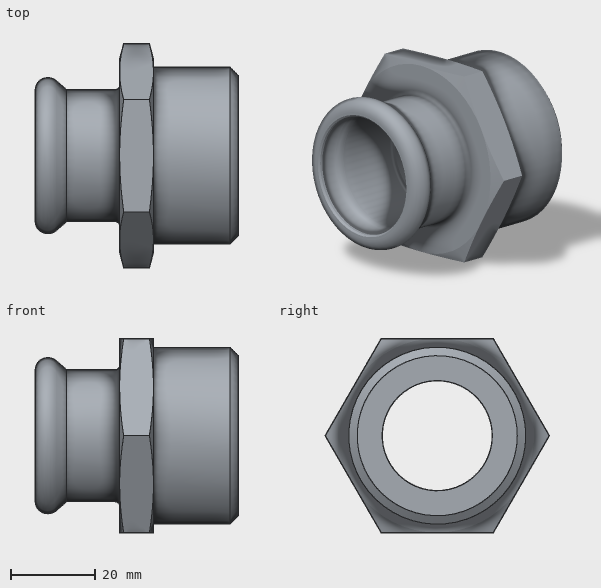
import cadquery as cq
import math


bead_radius = 3.0
bead_diameter = 37.0
neck_diameter = 31.3
socket_diameter = 28.2
lip_diameter = 28.8
lip_chamfer = 0.4
lip_width = 1.1
bead_cone_angle = math.radians(41)
socket_entry_radius = 3.0
socket_depth = 24.0
stop_fillet = 0.5

hex_start = 20.0
hex_width = 8.0
hex_across_flats = 46.0
hex_chamfer_angle = math.radians(15)
neck_fillet = 1.0

total_length = 48.1
male_diameter = 41.91
male_chamfer = 2.0
through_diameter = 26.0

hex_end = hex_start + hex_width
hex_across_corners = hex_across_flats / math.cos(math.radians(30))
bead_center = (bead_radius, bead_diameter / 2 - bead_radius)
neck_radius = neck_diameter / 2
socket_radius = socket_diameter / 2
wall = neck_radius - socket_radius
groove_radius = bead_radius - wall


def arc_point(center, radius, angle):
    """Point on an arc in the profile plane, its angle measured from the outward radial towards +X."""
    return (center[0] + radius * math.sin(angle), center[1] + radius * math.cos(angle))


def revolve_about_x(profile):
    return profile.close().revolve(360, (0, 0, 0), (1, 0, 0))


def make_body():
    """Solid outer shape without the hexagon: bead, cone, neck and male end."""
    cone_start = arc_point(bead_center, bead_radius, bead_cone_angle)
    cone_length = (cone_start[1] - neck_radius) / math.tan(bead_cone_angle)
    fillet_center = (hex_start - neck_fillet, neck_radius + neck_fillet)
    male_radius = male_diameter / 2
    profile = (
        cq.Workplane("XY")
        .moveTo(0, 0)
        .lineTo(0, bead_center[1])
        .threePointArc(arc_point(bead_center, bead_radius, 0), cone_start)
        .lineTo(cone_start[0] + cone_length, neck_radius)
        .lineTo(hex_start - neck_fillet, neck_radius)
        .threePointArc(
            arc_point(fillet_center, neck_fillet, math.radians(135)),
            (hex_start, neck_radius + neck_fillet),
        )
        .lineTo(hex_start, male_radius)
        .lineTo(total_length - male_chamfer, male_radius)
        .lineTo(total_length, male_radius - male_chamfer)
        .lineTo(total_length, 0)
    )
    return revolve_about_x(profile)


def make_hexagon():
    """Hexagon with corners on +/-Y, its corners turned down by a cone on both faces."""
    prism = (
        cq.Workplane("YZ")
        .workplane(offset=hex_start)
        .polygon(6, hex_across_corners)
        .extrude(hex_width)
    )
    flat_radius = hex_across_flats / 2
    corner_radius = hex_across_corners / 2
    chamfer_depth = (corner_radius - flat_radius) * math.tan(hex_chamfer_angle)
    envelope = (
        cq.Workplane("XY")
        .moveTo(hex_start, 0)
        .lineTo(hex_start, flat_radius)
        .lineTo(hex_start + chamfer_depth, corner_radius)
        .lineTo(hex_end - chamfer_depth, corner_radius)
        .lineTo(hex_end, flat_radius)
        .lineTo(hex_end, 0)
    )
    return prism.intersect(revolve_about_x(envelope))


def make_bore():
    """Passage through the part: lip, seal groove, pipe socket, stop and through bore."""
    lip_radius = lip_diameter / 2
    through_radius = through_diameter / 2
    stop_center = (socket_depth - stop_fillet, socket_radius - stop_fillet)

    groove_cone_start = arc_point(bead_center, groove_radius, bead_cone_angle)
    entry_center_radius = socket_radius + socket_entry_radius
    tangent_gap = groove_radius + socket_entry_radius
    radial_gap = entry_center_radius - bead_center[1]
    entry_center_x = bead_center[0] + (
        tangent_gap - radial_gap * math.cos(bead_cone_angle)
    ) / math.sin(bead_cone_angle)
    entry_center = (entry_center_x, entry_center_radius)

    profile = (
        cq.Workplane("XY")
        .moveTo(0, 0)
        .lineTo(0, lip_radius + lip_chamfer)
        .lineTo(lip_chamfer, lip_radius)
        .lineTo(lip_width, lip_radius)
        .lineTo(bead_center[0] - groove_radius, bead_center[1])
        .threePointArc(arc_point(bead_center, groove_radius, 0), groove_cone_start)
        .lineTo(*arc_point(entry_center, socket_entry_radius, math.pi + bead_cone_angle))
        .threePointArc(
            arc_point(entry_center, socket_entry_radius, math.pi + bead_cone_angle / 2),
            (entry_center_x, socket_radius),
        )
        .lineTo(stop_center[0], socket_radius)
        .threePointArc(
            arc_point(stop_center, stop_fillet, math.radians(45)),
            (socket_depth, stop_center[1]),
        )
        .lineTo(socket_depth, through_radius)
        .lineTo(total_length, through_radius)
        .lineTo(total_length, 0)
    )
    return revolve_about_x(profile)


result = make_body().union(make_hexagon()).cut(make_bore())